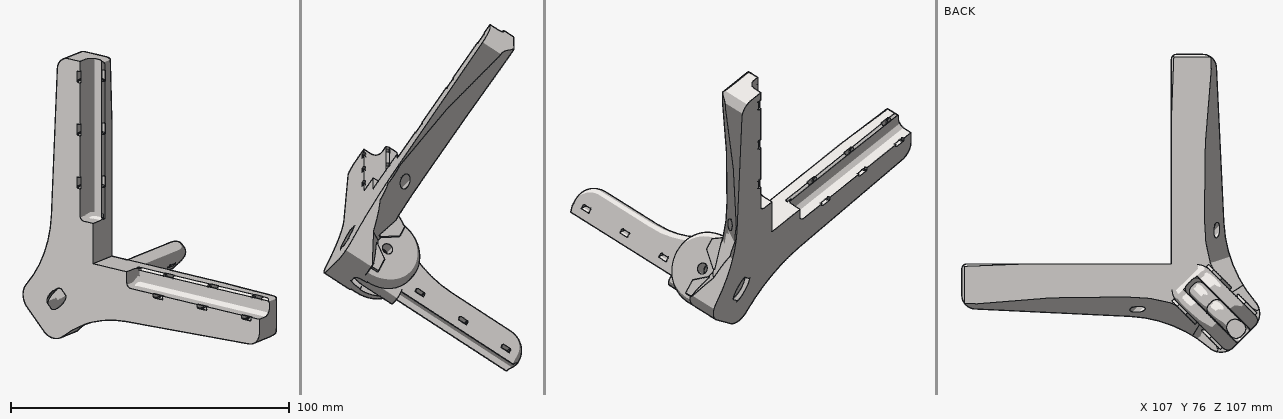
import cadquery as cq
import math

SPAN = 106.9
PLATE_T = 11.1
INNER = 31.8
ARM_END_W = 16.0
BEND_START = (12.8, 46.5)
BEND_R = 47.3
CORNER_R = 6.4
TIP_OUTER_R = 5.0
TIP_INNER_R = 1.9
TIP_BEVEL = 1.0
TIP_TAPER_START = 83.4
TAPER_START_SIZE = TIP_BEVEL / 20

HINGE_U = 21.4
HINGE_Y = 13.5
CHEEK_R = 13.5
CHEEK_V = 8.2
CHEEK_EDGE_R = 2.6
FLARE_R = 4.5
GAP_V = 3.4
CAVITY_R = 14.2
CAVITY_EDGE_R = 2.1
HOLE_D = 4.0

WEB_T = 1.1
WEB_FOOT_Y = 4.3
WEB_FAR = ((23.5, WEB_FOOT_Y), (23.5, 9.1), (28.3, 15.2), (32.6, 15.2), (35.3, 11.1), (35.3, WEB_FOOT_Y))
WEB_NEAR = ((20.3, WEB_FOOT_Y), (20.3, 9.1), (16.3, 14.2), (10.7, 14.2), (10.7, WEB_FOOT_Y))

CROSS_HOLE_U = 41.9
CROSS_HOLE_Y = 5.7

ROD_D = 6.0
SEAT_START = 46.9
SEAT_END_R = 1.9
SEAT_ROOT_R = ROD_D / 2 - 0.05
LIP_W = 0.7
LIP_H = 1.0
TIE_T = 1.4
TIE_W = 4.3
ARM_TIE_R = 3.8
TIE_BEVEL = 0.3
ARM_TIES = (60.9, 80.9, 100.9)

LEG_T = 6.4
LEG_EDGE_R = 2.6
LEG_TIP_Y = 76.0
HUB_R = 12.6
LEG_OUTER_U = 25.0
LEG_BEND_Y = 42.8
LEG_TIP_R = 8.0
CHANNEL_U = 12.56
CHANNEL_START = 26.0
LEG_TIE_R = 4.5
LEG_TIE_W = 3.5
LEG_TIES = (32.3, 50.9, 69.4)

SCOOP_MARGIN = 0.9
REACH = 21.4
ROOT2 = math.sqrt(2)
DIAGONAL = (-1, 0, 1)

SCOOP_STATIONS = (
    (SPAN + 2.1, 7.9, 1.1, 10.0, 1.9),
    (101.6, 7.9, 1.1, 10.0, 1.9),
    (74.8, 3.0, 3.0, 8.8, 5.3),
    (48.1, 0.4, 4.1, 7.9, 7.0),
    (40.6, 0.5, 4.2, 7.7, 7.3),
    (34.2, 1.4, 4.5, 7.7, 7.5),
    (24.1, 5.2, 4.5, 8.8, 7.0),
    (16.0, 10.0, 0.7, 10.6, 1.6),
)

wall_slope = (INNER - ARM_END_W - BEND_START[0]) / (SPAN - BEND_START[1])
wall_angle = math.atan(wall_slope)
bend_centre = (
    BEND_START[0] - BEND_R * math.cos(wall_angle),
    BEND_START[1] + BEND_R * math.sin(wall_angle),
)


def bend_point(angle):
    """Point (x, z) on the concave bend, at an angle below the X direction."""
    return (
        bend_centre[0] + BEND_R * math.cos(angle),
        bend_centre[1] - BEND_R * math.sin(angle),
    )


def hinge_plane(v=0.0):
    """Plane square to the hinge axis: local X along X = Z, local Y along Y, origin on the axis."""
    at = HINGE_U / ROOT2
    return cq.Plane(
        origin=(at - v / ROOT2, HINGE_Y, at + v / ROOT2), xDir=(1, 0, 1), normal=DIAGONAL
    )


def swap(point):
    """Mirror an (x, z) point about the line X = Z."""
    return (point[1], point[0])


def plate():
    """Flat L with a rounded hinge end and rounded arm ends."""
    end_u = HINGE_U - CHEEK_R
    offset = (end_u * ROOT2 - sum(bend_centre)) / (BEND_R * ROOT2)
    end_angle = math.acos(offset) - math.pi / 4
    mid = bend_point((wall_angle + end_angle) / 2)
    end = bend_point(end_angle)
    tip = (INNER - ARM_END_W, SPAN)
    body = (
        cq.Workplane("XZ")
        .moveTo(INNER, INNER)
        .lineTo(INNER, SPAN)
        .lineTo(*tip)
        .lineTo(*BEND_START)
        .threePointArc(mid, end)
        .lineTo(*swap(end))
        .threePointArc(swap(mid), swap(BEND_START))
        .lineTo(*swap(tip))
        .lineTo(SPAN, INNER)
        .close()
        .extrude(-PLATE_T)
    )

    def corner(x, z):
        return cq.selectors.BoxSelector((x - 1.1, -1.1, z - 1.1), (x + 1.1, PLATE_T + 1.1, z + 1.1))

    for points, radius in (
        ((end, swap(end)), CORNER_R),
        ((tip, swap(tip)), TIP_OUTER_R),
        (((INNER, SPAN), (SPAN, INNER)), TIP_INNER_R),
    ):
        for point in points:
            body = body.edges("|Y").edges(corner(*point)).fillet(radius)
    return body


def scoop():
    """Ruled cutter that hollows the outer wall of the upright arm towards the plate back."""
    sections = []
    for z, low_y, knee_inset, knee_y, back_inset in SCOOP_STATIONS:
        in_bend = z < BEND_START[1]
        angle = math.asin((bend_centre[1] - z) / BEND_R) if in_bend else 0
        x = bend_point(angle)[0] if in_bend else BEND_START[0] + (z - BEND_START[1]) * wall_slope
        low_slope = (knee_y - low_y) / knee_inset
        back_slope = (PLATE_T - knee_y) / (back_inset - knee_inset)
        profile = (
            (-SCOOP_MARGIN, low_y - SCOOP_MARGIN * low_slope),
            (knee_inset, knee_y),
            (back_inset + SCOOP_MARGIN, PLATE_T + SCOOP_MARGIN * back_slope),
            (-SCOOP_MARGIN, PLATE_T + SCOOP_MARGIN * back_slope),
        )
        corners = [
            cq.Vector(x + n * math.cos(angle), y, z - n * math.sin(angle)) for n, y in profile
        ]
        sections.append(cq.Wire.makePolygon(corners, close=True))
    return cq.Workplane(cq.Solid.makeLoft(sections, True))


def tie_ring(plane, inner_r, width):
    """Cutter for a curved tie slot around the plane's origin."""
    outer_r = inner_r + TIE_T
    ring = cq.Workplane(plane).circle(outer_r).extrude(width / 2, both=True)
    ring = ring.edges().chamfer(TIE_BEVEL)
    core = cq.Workplane(plane).circle(inner_r).extrude(width, both=True)
    return ring.cut(core)


def rod_seat():
    """Cutter for the rod seat, its bevelled lip and its tie slots, on the upright arm."""
    length = SPAN + REACH - SEAT_START
    seat = cq.Workplane("XY").box(
        ROD_D + REACH, ROD_D + REACH, length, centered=False
    ).translate((INNER - ROD_D, -REACH, SEAT_START))
    seat = seat.edges("<X and >Y").fillet(SEAT_ROOT_R)
    seat = seat.faces("<Z").edges("not(>X or <Y)").fillet(SEAT_END_R)
    lip = (
        cq.Workplane("XY", origin=(INNER, ROD_D, SEAT_START))
        .polyline([(-LIP_W, 0), (0, LIP_H), (1.1, LIP_H), (1.1, 0)])
        .close()
        .extrude(length)
    )
    cutter = seat.union(lip)
    for z in ARM_TIES:
        plane = cq.Plane(origin=(INNER - ROD_D / 2, ROD_D / 2, z), xDir=(1, 0, 0), normal=(0, 0, 1))
        cutter = cutter.union(tie_ring(plane, ARM_TIE_R, TIE_W))
    return cutter


def hinge_boss():
    """Both cheeks as one block: round top, straight root and a flare onto the plate back."""
    flare_y = PLATE_T + FLARE_R - HINGE_Y
    flare_u = math.sqrt((CHEEK_R + FLARE_R) ** 2 - flare_y**2)
    start = math.asin(flare_y / (CHEEK_R + FLARE_R))
    arc_end = (CHEEK_R * math.cos(start), CHEEK_R * math.sin(start))
    turn = (start - math.pi / 2) / 2
    flare_mid = (flare_u - FLARE_R * math.cos(turn), flare_y + FLARE_R * math.sin(turn))
    root = -HINGE_Y
    boss = (
        cq.Workplane(hinge_plane(-CHEEK_V))
        .moveTo(-CHEEK_R, root)
        .lineTo(-CHEEK_R, 0)
        .threePointArc((0, CHEEK_R), arc_end)
        .threePointArc(flare_mid, (flare_u, PLATE_T - HINGE_Y))
        .lineTo(flare_u, root)
        .close()
        .extrude(2 * CHEEK_V)
    )
    above_axis = cq.selectors.BoxSelector((-SPAN, HINGE_Y, -SPAN), (SPAN, SPAN, SPAN))
    return boss.edges("%CIRCLE").edges(above_axis).fillet(CHEEK_EDGE_R)


def hinge_gap():
    """Open gap between the cheeks, with a round pocket below for the leg hub."""
    pocket = cq.Workplane(hinge_plane()).circle(CAVITY_R).extrude(GAP_V, both=True)
    pocket = pocket.edges().fillet(CAVITY_EDGE_R)
    opening = cq.Workplane(hinge_plane()).rect(4 * CHEEK_R, 2 * REACH)
    opening = opening.extrude(GAP_V, both=True).translate((0, REACH, 0))
    return pocket.union(opening)


def axis_hole(u, y):
    """Drill through everything, parallel to the hinge axis."""
    at = cq.Workplane(hinge_plane()).center(u - HINGE_U, y - HINGE_Y)
    return at.circle(HOLE_D / 2).extrude(2 * REACH, both=True)


def cheek_webs(side):
    """Pair of low webs against the outer face of one cheek; side is +1 or -1."""
    webs = cq.Workplane()
    for outline in (WEB_NEAR, WEB_FAR):
        points = [(u - HINGE_U, y - HINGE_Y) for u, y in outline]
        start = hinge_plane(side * CHEEK_V)
        webs = webs.add(cq.Workplane(start).polyline(points).close().extrude(side * WEB_T))
    return webs


def tip_bevels():
    """Cutter for the bevelled back edges at the end of the upright arm."""
    end_bevel = (
        cq.Workplane("YZ")
        .polyline([(PLATE_T, SPAN), (PLATE_T - TIP_BEVEL, SPAN), (PLATE_T, SPAN - TIP_BEVEL)])
        .close()
        .extrude(INNER)
    )
    sections = []
    for z, size in ((TIP_TAPER_START, TAPER_START_SIZE), (SPAN, TIP_BEVEL)):
        corners = [(INNER, PLATE_T, z), (INNER - size, PLATE_T, z), (INNER, PLATE_T - size, z)]
        sections.append(cq.Wire.makePolygon([cq.Vector(*c) for c in corners], close=True))
    return end_bevel.union(cq.Workplane(cq.Solid.makeLoft(sections, True)))


def make_bracket():
    """L bracket with the hinge cheeks."""
    body = plate()
    arm_cuts = (scoop(), tip_bevels(), rod_seat())
    for cutter in arm_cuts:
        body = body.cut(cutter).cut(cutter.mirror(DIAGONAL))
    body = body.union(hinge_boss())
    for side in (1, -1):
        for web in cheek_webs(side).vals():
            body = body.union(cq.Workplane(web))
    body = body.cut(hinge_gap())
    return body.cut(axis_hole(HINGE_U, HINGE_Y)).cut(axis_hole(CROSS_HOLE_U, CROSS_HOLE_Y))


def make_leg():
    """Swing-out leg with its hub and rod channel."""
    side = LEG_OUTER_U - HINGE_U
    bend_y = LEG_BEND_Y - HINGE_Y
    tip_y = LEG_TIP_Y - HINGE_Y
    bend_r = (side**2 + bend_y**2 - HUB_R**2) / (2 * (HUB_R - side))
    centre_u = side + bend_r
    to_hub = math.atan2(bend_y, centre_u)
    meet = (HUB_R * math.cos(to_hub), HUB_R * math.sin(to_hub))
    half = to_hub / 2
    bend_mid = (centre_u - bend_r * math.cos(half), bend_y - bend_r * math.sin(half))
    body = (
        cq.Workplane(hinge_plane(-LEG_T / 2))
        .moveTo(-HUB_R, 0)
        .lineTo(-HUB_R, tip_y)
        .lineTo(side - LEG_TIP_R, tip_y)
        .radiusArc((side, tip_y - LEG_TIP_R), LEG_TIP_R)
        .lineTo(side, bend_y)
        .threePointArc(bend_mid, meet)
        .threePointArc((0, -HUB_R), (-HUB_R, 0))
        .close()
        .extrude(LEG_T)
    )
    body = body.faces(cq.selectors.ParallelDirSelector(cq.Vector(DIAGONAL))).edges().fillet(LEG_EDGE_R)

    at = CHANNEL_U / ROOT2
    channel_plane = cq.Plane(origin=(at, CHANNEL_START, at), xDir=(1, 0, 1), normal=(0, 1, 0))
    channel = cq.Workplane(channel_plane).circle(ROD_D / 2).extrude(LEG_TIP_Y)
    side_cut = cq.Workplane(channel_plane).center(-REACH / 2, 0).rect(REACH, REACH).extrude(LEG_TIP_Y)
    body = body.cut(channel).cut(side_cut)
    for y in LEG_TIES:
        plane = cq.Plane(origin=(at, y, at), xDir=(1, 0, 1), normal=(0, 1, 0))
        body = body.cut(tie_ring(plane, LEG_TIE_R, LEG_TIE_W))
    return body.cut(axis_hole(HINGE_U, HINGE_Y))


bracket = make_bracket()
leg = make_leg()
result = cq.Compound.makeCompound([bracket.val(), leg.val()])